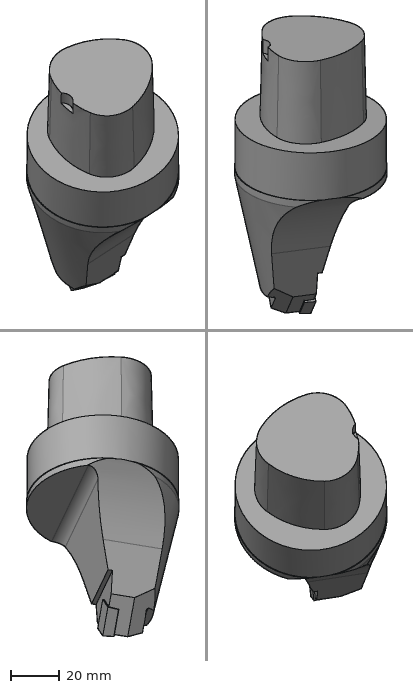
import cadquery as cq
import math


shank_height = 37.8
shank_taper = 1.2
lobe_reach = 23.5
flat_reach = 20.5
lobe_offset = 8.6
notch_radius = 4.6
notch_depth = 6.3
notch_centre_y = -22.3

flange_diameter = 63.0
rim_diameter = 63.5
rim_top = -22.0
rim_bottom = -25.4

cone_end = -77.2
cone_end_radius = 21.2
front_root_y = 10.0
front_root_fillet = 5.1
step_z = -65.5
front_slope_end_y = 1.3
front_flat_y = -0.6
nose_back_y = -17.2
nose_chamfer = 0.6
flank_top_z = -21.7
flank_tangent_x = 15.3
flank_tangent_z = -52.3
flank_angle = 11.0

point_half_angle = 40.0
nose_tip_z = -88.7
relief_start_y = -10.8
relief_slope = 0.51

insert_tip_z = -90.4
insert_half_length = 9.4
insert_thickness = 4.9
insert_relief = 4.5

span = 102.6


def polar(radius, degrees):
    angle = math.radians(degrees)
    return cq.Vector(radius * math.cos(angle), radius * math.sin(angle))


def make_shank():
    """Six tangent arcs: three lobes and three wide flats, tapering upwards."""
    lobe_radius = lobe_reach - lobe_offset
    gap = flat_reach - lobe_radius
    flat_offset = (lobe_offset**2 - gap**2) / (2 * gap - lobe_offset)
    flat_radius = flat_reach + flat_offset

    def seam(lobe_angle, flat_angle):
        flat_centre = polar(flat_offset, flat_angle + 180)
        direction = (polar(lobe_offset, lobe_angle) - flat_centre).normalized()
        return flat_centre + direction * flat_radius

    outline = cq.Workplane("XY").moveTo(*seam(90, 30).toTuple()[:2])
    for lobe_angle in (90, 210, 330):
        lobe_tip = polar(lobe_reach, lobe_angle)
        lobe_end = seam(lobe_angle, lobe_angle + 60)
        flat_middle = polar(flat_reach, lobe_angle + 60)
        flat_end = seam(lobe_angle + 120, lobe_angle + 60)
        outline = outline.threePointArc(lobe_tip.toTuple()[:2], lobe_end.toTuple()[:2])
        outline = outline.threePointArc(flat_middle.toTuple()[:2], flat_end.toTuple()[:2])
    shank = outline.close().extrude(shank_height, taper=shank_taper)

    notch = (
        cq.Workplane("XY", origin=(0, notch_centre_y, shank_height - notch_depth))
        .circle(notch_radius)
        .extrude(notch_depth)
    )
    return shank.cut(notch)


def make_flange():
    flange = cq.Workplane("XY").circle(flange_diameter / 2).extrude(rim_top)
    rim = cq.Workplane("XY", origin=(0, 0, rim_top)).circle(rim_diameter / 2).extrude(rim_bottom - rim_top)
    return flange.union(rim)


def make_cone():
    """Cone continued below the blade heel so that it also contains the nose."""
    top_radius = rim_diameter / 2
    radius_drop = (top_radius - cone_end_radius) / (rim_bottom - cone_end)
    tip_radius = top_radius - radius_drop * (rim_bottom - insert_tip_z)
    return (
        cq.Workplane("XZ")
        .moveTo(0, rim_bottom)
        .lineTo(top_radius, rim_bottom)
        .lineTo(tip_radius, insert_tip_z)
        .lineTo(0, insert_tip_z)
        .close()
        .revolve(360, (0, 0, 0), (0, 1, 0))
    )


def make_side_profile():
    """Blade outline in the YZ plane, extruded across X."""
    front_run = math.hypot(front_root_y - front_slope_end_y, rim_bottom - step_z)
    slope_y = (front_slope_end_y - front_root_y) / front_run
    slope_z = (step_z - rim_bottom) / front_run
    tangent_length = front_root_fillet * math.sqrt((1 + slope_y) / (1 - slope_y))
    return (
        cq.Workplane("YZ")
        .moveTo(-flange_diameter, rim_bottom)
        .lineTo(-flange_diameter, cone_end)
        .lineTo(nose_back_y - nose_chamfer, cone_end)
        .lineTo(nose_back_y, cone_end - nose_chamfer)
        .lineTo(nose_back_y, insert_tip_z)
        .lineTo(front_flat_y, insert_tip_z)
        .lineTo(front_flat_y, step_z)
        .lineTo(front_slope_end_y, step_z)
        .lineTo(front_root_y + tangent_length * slope_y, rim_bottom + tangent_length * slope_z)
        .tangentArcPoint((front_root_y + tangent_length, rim_bottom), relative=False)
        .close()
        .extrude(span / 2, both=True)
    )


def make_flank_profile():
    """Outline in the XZ plane with hollow flanks, extruded along Y."""
    side_x = rim_diameter / 2
    slope = math.tan(math.radians(flank_angle))
    bottom_x = flank_tangent_x - slope * (flank_tangent_z - insert_tip_z)
    half = (
        cq.Workplane("XZ")
        .moveTo(0, insert_tip_z)
        .lineTo(bottom_x, insert_tip_z)
        .lineTo(flank_tangent_x, flank_tangent_z)
        .tangentArcPoint((side_x, flank_top_z), relative=False)
        .lineTo(side_x, 0)
        .lineTo(0, 0)
        .close()
        .extrude(span / 2, both=True)
    )
    return half.union(half.mirror("YZ"))


def make_nose_envelope():
    """V-shaped prism, straight at the front and rising with relief towards -Y."""
    half_width = span / 2
    rise = half_width / math.tan(math.radians(point_half_angle))

    def v_section(y, tip_z):
        points = [(0, tip_z), (half_width, tip_z + rise), (half_width, tip_z + span)]
        points += [(-half_width, tip_z + span), (-half_width, tip_z + rise)]
        return cq.Wire.makePolygon([cq.Vector(x, y, z) for x, z in points], close=True)

    crease = v_section(relief_start_y, nose_tip_z)
    front = v_section(relief_start_y + span, nose_tip_z)
    back = v_section(relief_start_y - span / 2, nose_tip_z + relief_slope * span / 2)
    straight = cq.Solid.makeLoft([front, crease], True)
    relieved = cq.Solid.makeLoft([crease, back], True)
    return cq.Workplane(obj=straight).union(cq.Workplane(obj=relieved))


def make_insert():
    """Rhombic cutting insert with relieved sides, its larger face at Y = 0."""
    half_width = insert_half_length * math.tan(math.radians(point_half_angle))
    middle_z = insert_tip_z + insert_half_length
    return (
        cq.Workplane("XZ")
        .moveTo(0, insert_tip_z)
        .lineTo(half_width, middle_z)
        .lineTo(0, middle_z + insert_half_length)
        .lineTo(-half_width, middle_z)
        .close()
        .extrude(insert_thickness, taper=insert_relief)
    )


def make_holder(insert):
    blade = make_cone().intersect(make_side_profile()).intersect(make_nose_envelope())
    head = make_flange().union(blade).intersect(make_flank_profile())
    return head.union(make_shank()).cut(insert)


insert = make_insert()
holder = make_holder(insert)
result = cq.Compound.makeCompound([holder.solids().val(), insert.val()])